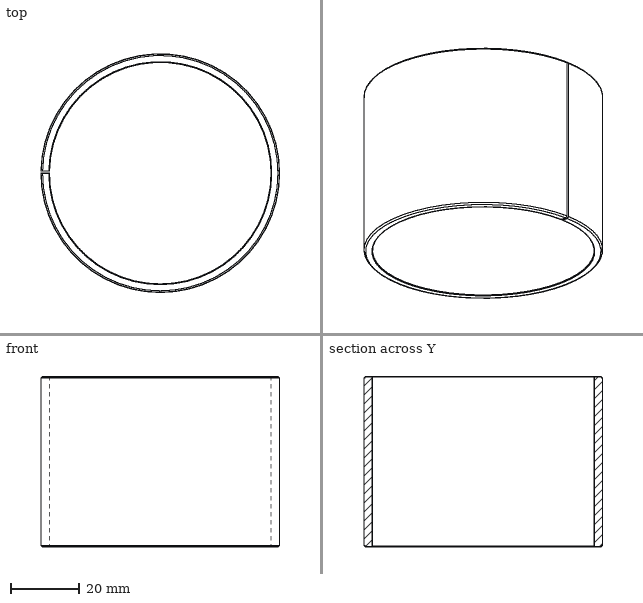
import cadquery as cq

outer_diameter = 70.0
wall = 2.5
height = 50.0
slit_width = 0.595
outer_chamfer = 0.5
inner_chamfer = 0.2

outer_radius = outer_diameter / 2
inner_radius = outer_radius - wall


def bushing_sleeve():
    """Revolve the wall section, with both rims chamfered, about Z."""
    section = [
        (inner_radius + inner_chamfer, 0),
        (outer_radius - outer_chamfer, 0),
        (outer_radius, outer_chamfer),
        (outer_radius, height - outer_chamfer),
        (outer_radius - outer_chamfer, height),
        (inner_radius + inner_chamfer, height),
        (inner_radius, height - inner_chamfer),
        (inner_radius, inner_chamfer),
    ]
    return cq.Workplane("XZ").polyline(section).close().revolve(360, (0, 0), (0, 1))


def slit_cutter():
    """Full-height slit through the -X wall, with one face on the XZ plane and the gap towards +Y."""
    return (
        cq.Workplane("XY")
        .box(outer_radius, slit_width, height, centered=False)
        .translate((-outer_radius, 0, 0))
    )


result = bushing_sleeve().cut(slit_cutter())